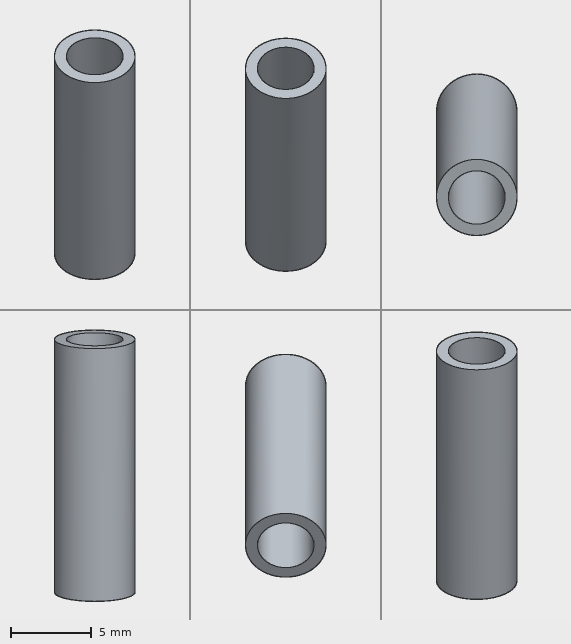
import cadquery as cq

outer_diameter = 5.0
wall_thickness = 0.75
length = 16.1

inner_diameter = outer_diameter - 2 * wall_thickness


def make_tube():
    """Concentric rings on the XY plane, extruded to the tube length."""
    return (
        cq.Workplane("XY")
        .circle(outer_diameter / 2)
        .circle(inner_diameter / 2)
        .extrude(length)
    )


result = make_tube()